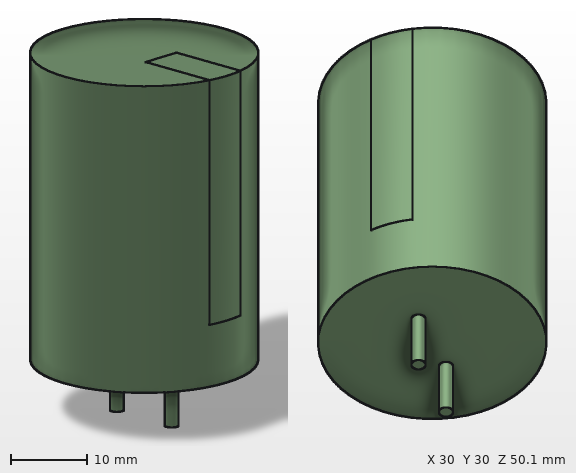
import cadquery as cq

TOTAL_HEIGHT = 50.15
CAN_DIAMETER = 30.0
PIN_LENGTH = 8.0
CAN_HEIGHT = TOTAL_HEIGHT - PIN_LENGTH

PIN_DIAMETER = 1.85
PIN_SPACING = 10.0

MARKER_WIDTH = 5.8
MARKER_INNER_X = 3.05
MARKER_HEIGHT = 33.6


def make_cylinder():
    """Full can cylinder with its bottom face at Z = 0."""
    return cq.Workplane("XY").circle(CAN_DIAMETER / 2).extrude(CAN_HEIGHT)


def make_marker():
    """Block flush with the top of the can and with its round side."""
    block = (
        cq.Workplane("XY", origin=(MARKER_INNER_X, 0, CAN_HEIGHT - MARKER_HEIGHT))
        .box(CAN_DIAMETER / 2, MARKER_WIDTH, MARKER_HEIGHT, centered=(False, True, False))
    )
    return block.intersect(make_cylinder()).solids()


def make_can(marker):
    """Can with a recess that fits the marker."""
    return make_cylinder().cut(marker).solids()


def make_pin(x):
    """Pin hanging from the bottom face of the can."""
    return cq.Workplane("XY").center(x, 0).circle(PIN_DIAMETER / 2).extrude(-PIN_LENGTH)


marker = make_marker()
can = make_can(marker)
pins = [make_pin(side * PIN_SPACING / 2) for side in (-1, 1)]

result = cq.Compound.makeCompound([can.val(), marker.val(), *[pin.val() for pin in pins]])